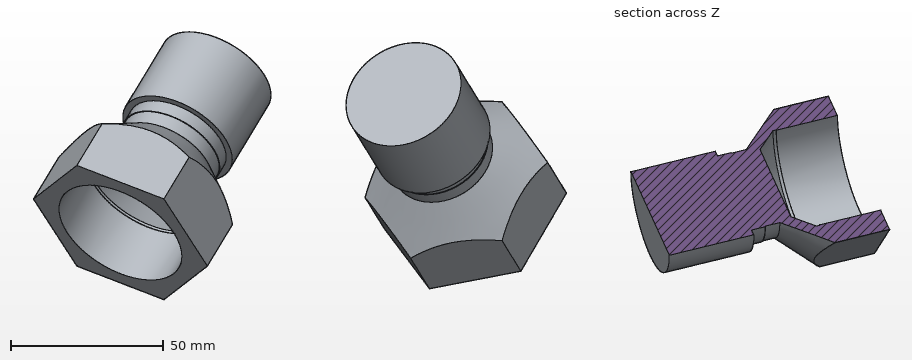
import cadquery as cq
import math

length = 72.5
across_flats = 55.0
nut_end = 33.35
neck_step = 38.4
tube_start = 43.15

tube_diameter = 40.0
collar_diameter = 35.5
neck_diameter = 35.0

bore_diameter = 44.9
bore_depth = 21.25
relief_diameter = 45.2
relief_width = 1.1
seat_diameter = 32.0

across_corners = across_flats / math.cos(math.radians(30))
bore_radius = bore_diameter / 2
relief_radius = relief_diameter / 2
seat_radius = seat_diameter / 2
relief_end = bore_depth + relief_width
seat_depth = relief_end + relief_radius - seat_radius


def revolve_about_y(points):
    """Turn an outline of (radius, Y) points into a solid about the Y axis."""
    return cq.Workplane("XY").polyline(points).close().revolve(360, (0, 0, 0), (0, 1, 0))


def make_nut():
    """Hexagon trimmed by a 45 degree shoulder."""
    hexagon = cq.Workplane("XZ").polygon(6, across_corners).extrude(-nut_end)
    neck_radius = neck_diameter / 2
    corner_radius = across_corners / 2
    shoulder_y = nut_end - (corner_radius - neck_radius)
    envelope = revolve_about_y([
        (0, 0),
        (corner_radius, 0),
        (corner_radius, shoulder_y),
        (neck_radius, nut_end),
        (0, nut_end),
    ])
    return hexagon.intersect(envelope)


def make_cylinder(diameter, start, end):
    return cq.Workplane("XZ", origin=(0, start, 0)).circle(diameter / 2).extrude(start - end)


neck = make_cylinder(neck_diameter, nut_end, neck_step)
collar = make_cylinder(collar_diameter, neck_step, tube_start)
tube = make_cylinder(tube_diameter, tube_start, length)

bore = revolve_about_y([
    (0, 0),
    (bore_radius, 0),
    (bore_radius, bore_depth),
    (relief_radius, bore_depth),
    (relief_radius, relief_end),
    (seat_radius, seat_depth),
    (0, seat_depth),
])

result = make_nut().union(neck).union(collar).union(tube).cut(bore)